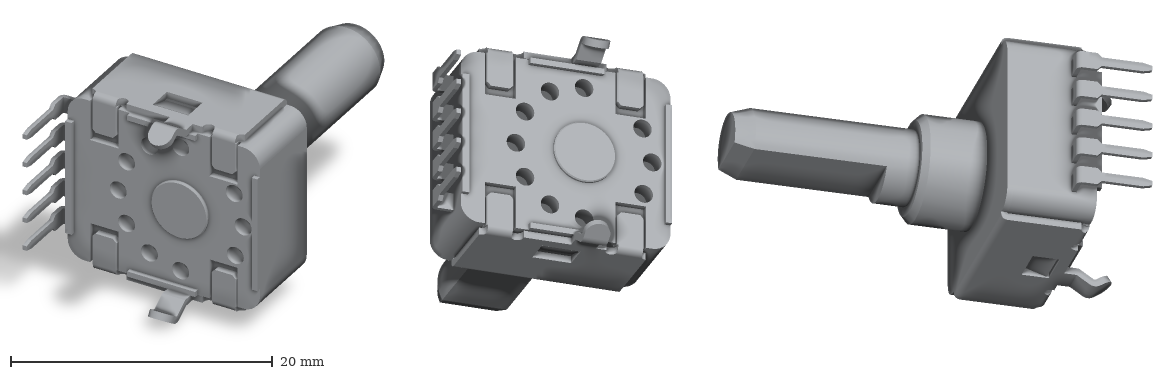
import cadquery as cq
import math


shaft_tip_y = 19.5
lowest_y = -11.0
body_width = 17.0
body_height = 14.43
body_center_x = -1.5
corner_radius = 1.5
base_end_y = -7.1

plate_thickness = 0.5
wall_thickness = 0.58
wall_outer_z = 7.87
wall_inner_z = wall_outer_z - wall_thickness
wall_end_y = -7.0
bend_radius = 0.5
bushing_diameter = 8.5
bushing_length = 5.0
bushing_chamfer = 0.52

tab_offset_x = 5.28
tab_centers_x = [body_center_x - tab_offset_x, body_center_x + tab_offset_x]
tab_width = 2.0
tab_edge_chamfer = 0.1
tab_end_z = 4.5
tab_corner_chamfer = 0.35
tab_bend_radius = 0.55
relief_radius = 0.45
relief_top_y = -6.37
wall_width = 2 * tab_offset_x + tab_width + 2 * relief_radius

window_width = 3.15
window_top_y = -3.93
window_end_y = -6.1
wedge_clearance = 0.18
wedge_height = 0.5

lug_width = 2.0
lug_tip_flat = 0.005
lug_tip_radius = (lug_width - lug_tip_flat) / 2
lug_angle = math.radians(33)
lug_bend_diameter = 1.55
lug_bend_radius = lug_bend_diameter / 2
lug_hump_y = -9.42
lug_span = 17.3
lug_peak_z = lug_span / 2

rib_height = 0.4
long_rib_length = 10.0
pin_side_rib_width = 0.58
plain_side_rib_width = 0.5
short_rib_length = 6.0
short_rib_width = 0.45
pocket_width = 2.5
pocket_end_z = 3.72
pit_diameter = 1.5
pit_depth = 1.52
pit_circle_radius = 5.52
pit_angles = [-29, 1, 31, 90, 120, 150, 180, 210, 240, 270]

shaft_diameter = 6.0
neck_diameter = 5.92
neck_reveal = 0.1
neck_top_y = bushing_length + neck_reveal
flat_z = -1.5
flat_start_y = 7.5
tip_chamfer_length = 1.5
tip_diameter = 5.0
tip_chamfer_depth = (shaft_diameter - tip_diameter) / 2
journal_diameter = 5.0
journal_length = 0.27
journal_chamfer = 0.1

pin_count = 5
pin_span = 9.95
pin_pitch = pin_span / (pin_count - 1)
pin_thickness = 0.37
pin_reach = 1.7
pin_top_y = -5.1
pin_bend_radius = 0.45
pin_root_depth = 1.0
pin_root_width = 1.4
pin_blade_width = 0.73
pin_tip_width = 0.4
pin_taper_start_y = -6.68
pin_taper_end_y = -7.0
pin_tip_start_y = -10.3

body_left_x = body_center_x - body_width / 2
body_right_x = body_center_x + body_width / 2
pin_outer_x = body_left_x - pin_reach


def box(x_range, y_range, z_range):
    """Box between two limits on each axis."""
    limits = (x_range, y_range, z_range)
    sizes = [high - low for low, high in limits]
    return cq.Workplane("XY").box(*sizes, centered=False).translate([low for low, high in limits])


def centered_range(center, size):
    return (center - size / 2, center + size / 2)


def cylinder(diameter, y_low, y_high, x=0, z=0):
    """Cylinder along Y."""
    origin = (x, y_high, z)
    return cq.Workplane("XZ", origin=origin).circle(diameter / 2).extrude(y_high - y_low)


def rounded_block(y_low, y_high):
    """Body outline with round corners."""
    block = box((body_left_x, body_right_x), (y_low, y_high), centered_range(0, body_height))
    return block.edges("|Y").fillet(corner_radius)


def on_both_walls(shape):
    """The shape at the +Z wall and its mirror image at the -Z wall."""
    return [shape, shape.mirror("XY")]


def make_shaft():
    taper_start_y = shaft_tip_y - tip_chamfer_length
    taper_angle = math.degrees(math.atan(tip_chamfer_depth / tip_chamfer_length))
    flat_cut = box(
        centered_range(0, shaft_diameter), (flat_start_y, taper_start_y), (-shaft_diameter, flat_z)
    )
    shaft = cylinder(shaft_diameter, neck_top_y, taper_start_y).cut(flat_cut)
    tapered_tip = shaft.faces(">Y").wires().toPending().workplane().extrude(
        tip_chamfer_length, taper=taper_angle, combine=False
    )
    neck = cylinder(neck_diameter, -plate_thickness, neck_top_y)
    journal = cylinder(journal_diameter, base_end_y - journal_length, -plate_thickness)
    journal = journal.faces("<Y").chamfer(journal_chamfer)
    return shaft.union(tapered_tip).union(neck).union(journal)


def make_shell():
    """Plate and walls, with the two bends rounded."""
    wall_x = centered_range(body_center_x, wall_width)
    shell = box(wall_x, (wall_end_y, 0), centered_range(0, 2 * wall_outer_z))
    shell = shell.edges("|X and >Y").fillet(bend_radius)
    shell = shell.cut(box(wall_x, (wall_end_y, -plate_thickness), centered_range(0, 2 * wall_inner_z)))
    return shell.union(rounded_block(-plate_thickness, 0))


def make_bushing():
    bushing = cylinder(bushing_diameter, 0, bushing_length)
    return bushing.faces(">Y").chamfer(bushing_chamfer)


def make_relief(center_x):
    """Round-ended slot cut up into the +Z wall from its lower edge."""
    arc_center_y = relief_top_y - relief_radius
    slot = box(
        centered_range(center_x, 2 * relief_radius),
        (base_end_y, arc_center_y),
        (wall_inner_z, wall_outer_z),
    )
    arc = cq.Workplane("XY", origin=(center_x, arc_center_y, wall_inner_z)).circle(relief_radius)
    return slot.union(arc.extrude(wall_thickness))


def make_tab(center_x):
    """Tab of the +Z wall: a rounded bend and a flat that lies flush with the base."""
    tab_y = (base_end_y, base_end_y + wall_thickness)
    bend = box(centered_range(center_x, tab_width), tab_y, (wall_inner_z, wall_outer_z))
    bend = bend.edges("|X and <Y and >Z").fillet(tab_bend_radius)
    flat_width = tab_width + 2 * tab_edge_chamfer
    flat = box(centered_range(center_x, flat_width), tab_y, (tab_end_z, wall_inner_z))
    flat = flat.edges("|Y and <Z").chamfer(tab_corner_chamfer)
    flat = flat.edges("|Z and <Y").chamfer(tab_edge_chamfer)
    return bend.union(flat)


def make_lug():
    """Lug of the +Z wall: a hump bent outward, ending in a nearly full round."""
    sine = math.sin(lug_angle)
    cosine = math.cos(lug_angle)
    slope = math.tan(lug_angle)
    inner_radius = lug_bend_radius - wall_thickness
    hump_center_z = lug_peak_z - lug_bend_radius

    def hump_point(radius, side):
        return (lug_hump_y + side * radius * sine, hump_center_z + radius * cosine)

    def foot(radius, wall_z):
        """Point where the rising slope leaves the wall face."""
        start_y, start_z = hump_point(radius, 1)
        return (start_y + (start_z - wall_z) / slope, wall_z)

    outer_end_y, outer_end_z = hump_point(lug_bend_radius, -1)
    tip_outer = (lowest_y, outer_end_z - (outer_end_y - lowest_y) * slope)
    tip_inner = (tip_outer[0] + wall_thickness * sine, tip_outer[1] - wall_thickness * cosine)
    lug = (
        cq.Workplane("YZ", origin=(-lug_width / 2, 0, 0))
        .moveTo(wall_end_y, wall_outer_z)
        .lineTo(*foot(lug_bend_radius, wall_outer_z))
        .lineTo(*hump_point(lug_bend_radius, 1))
        .threePointArc((lug_hump_y, lug_peak_z), (outer_end_y, outer_end_z))
        .lineTo(*tip_outer)
        .lineTo(*tip_inner)
        .lineTo(*hump_point(inner_radius, -1))
        .threePointArc((lug_hump_y, hump_center_z + inner_radius), hump_point(inner_radius, 1))
        .lineTo(*foot(inner_radius, wall_inner_z))
        .lineTo(wall_end_y, wall_inner_z)
        .close()
        .extrude(lug_width)
    )
    return lug.faces("<Y").edges("not |X").fillet(lug_tip_radius)


def make_frame():
    frame = make_shell().union(make_bushing())
    frame = frame.cut(cylinder(neck_diameter, -plate_thickness, bushing_length))
    window = box(
        centered_range(body_center_x, window_width),
        (window_end_y, window_top_y),
        (wall_inner_z, wall_outer_z),
    )
    relief_offset = tab_width / 2 + relief_radius
    bend_start_y = base_end_y + tab_bend_radius
    for center_x in tab_centers_x:
        tab_gap = box(
            centered_range(center_x, tab_width),
            (base_end_y, bend_start_y),
            (wall_inner_z, wall_outer_z),
        )
        for gap in on_both_walls(tab_gap):
            frame = frame.cut(gap)
        for side in (-1, 1):
            for relief in on_both_walls(make_relief(center_x + side * relief_offset)):
                frame = frame.cut(relief)
        for tab in on_both_walls(make_tab(center_x)):
            frame = frame.union(tab)
    for opening in on_both_walls(window):
        frame = frame.cut(opening)
    for lug in on_both_walls(make_lug()):
        frame = frame.union(lug)
    return frame


def make_pin(center_z):
    root_x = body_left_x + pin_root_depth
    inner_x = pin_outer_x + pin_thickness
    lower_y = pin_top_y - pin_thickness
    strip = (
        cq.Workplane("XY", origin=(0, 0, -pin_root_width / 2))
        .moveTo(root_x, pin_top_y)
        .lineTo(pin_outer_x, pin_top_y)
        .lineTo(pin_outer_x, lowest_y)
        .lineTo(inner_x, lowest_y)
        .lineTo(inner_x, lower_y)
        .lineTo(root_x, lower_y)
        .close()
        .extrude(pin_root_width)
    )
    strip = strip.edges("|Z and <X and >Y").fillet(pin_bend_radius)
    half_outline = [
        (pin_top_y, pin_root_width / 2),
        (pin_taper_start_y, pin_root_width / 2),
        (pin_taper_end_y, pin_blade_width / 2),
        (pin_tip_start_y, pin_blade_width / 2),
        (lowest_y, pin_tip_width / 2),
    ]
    mirrored_outline = [(y, -z) for y, z in reversed(half_outline)]
    blade = (
        cq.Workplane("YZ", origin=(pin_outer_x, 0, 0))
        .polyline(half_outline + mirrored_outline)
        .close()
        .extrude(root_x - pin_outer_x)
    )
    return strip.intersect(blade).translate((0, 0, center_z))


def make_ribs():
    rib_y = (base_end_y - rib_height, base_end_y)
    long_rib_z = centered_range(0, long_rib_length)
    short_rib = box(
        centered_range(body_center_x, short_rib_length),
        rib_y,
        (body_height / 2 - short_rib_width, body_height / 2),
    )
    return [
        box((body_left_x, body_left_x + pin_side_rib_width), rib_y, long_rib_z),
        box((body_right_x - plain_side_rib_width, body_right_x), rib_y, long_rib_z),
        *on_both_walls(short_rib),
    ]


def make_wedge():
    """Snap wedge in the +Z window, rising toward -Y."""
    start_y = window_top_y - wedge_clearance
    end_y = window_end_y + wedge_clearance
    base_z = body_height / 2
    return (
        cq.Workplane("YZ", origin=(body_center_x - window_width / 2, 0, 0))
        .polyline([(start_y, base_z), (end_y, base_z), (end_y, wall_inner_z + wedge_height)])
        .close()
        .extrude(window_width)
    )


def make_pits():
    pits = []
    for angle in pit_angles:
        x = pit_circle_radius * math.cos(math.radians(angle))
        z = pit_circle_radius * math.sin(math.radians(angle))
        pits.append(cylinder(pit_diameter, base_end_y, base_end_y + pit_depth, x, z))
    return pits


def make_base(pins):
    base = rounded_block(base_end_y, -plate_thickness)
    for addition in make_ribs() + on_both_walls(make_wedge()):
        base = base.union(addition)
    cuts = [cylinder(journal_diameter, base_end_y, -plate_thickness)]
    cuts += make_pits()
    for center_x in tab_centers_x:
        pocket = box(
            centered_range(center_x, pocket_width),
            (base_end_y, base_end_y + wall_thickness),
            (pocket_end_z, wall_inner_z),
        )
        cuts += on_both_walls(pocket)
    for cut in cuts + pins:
        base = base.cut(cut)
    return base


shaft = make_shaft()
frame = make_frame()
pins = [make_pin(index * pin_pitch - pin_span / 2) for index in range(pin_count)]
base = make_base(pins)

result = cq.Compound.makeCompound([
    shaft.val(),
    frame.val(),
    base.val(),
    *[pin.val() for pin in pins],
])